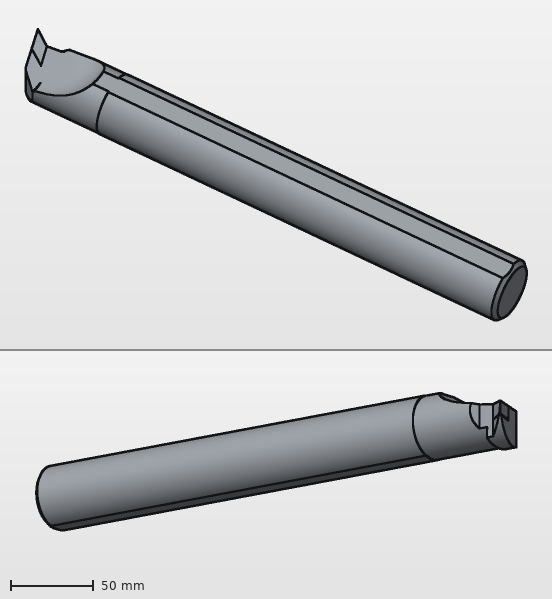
import cadquery as cq
import math

length = 349.3
shank_radius = 20.0
flat_height = 19.0
neck_step = 0.17
neck_radius = shank_radius - neck_step
neck_end = 68.8
end_chamfer = 2.8
stock = 104.8

head_radius = 22.7
head_center_y = 3.0
head_center_z = 0.7
head_end = 16.8
tip_y = head_center_y + head_radius

floor_angle = 8.5
floor_tip_z = 0.5
bowl_center = 24.5
bowl_center_y = 2.5
bowl_flat_radius = 14.0
bowl_wall_radius = 30.0
bowl_height = 33.2

tip = (0, tip_y)
front_corner = (9.5, -4.2)
side_corner = (11.0, -6.3)
side_end = (23.8, -shank_radius)
relief_start = (12.2, 16.0)
relief_end = (22.5, 16.0)
relief_runout = (27.0, shank_radius)

insert_bottom = -7.7
insert_relief_z = -4.2
insert_relief = 0.5
insert_front = 15.5
insert_inner = (17.0, 1.0)


def cylinder_x(radius, start, end, y=0, z=0):
    """Solid cylinder along X between two stations."""
    return cq.Workplane("YZ", origin=(start, y, z)).circle(radius).extrude(end - start)


def make_gullet():
    """Material removed above the tilted floor, closed by a half bowl."""
    angle = math.radians(floor_angle)
    along = (math.cos(angle), 0, math.sin(angle))
    normal = (-math.sin(angle), 0, math.cos(angle))
    center = (bowl_center * along[0], bowl_center_y, floor_tip_z + bowl_center * along[2])
    floor = cq.Plane(origin=center, xDir=along, normal=normal)
    section = cq.Plane(origin=center, xDir=along, normal=(0, -1, 0))
    bowl = (
        cq.Workplane(section)
        .lineTo(bowl_flat_radius, 0)
        .radiusArc((bowl_flat_radius + bowl_wall_radius, bowl_wall_radius), -bowl_wall_radius)
        .lineTo(bowl_flat_radius + bowl_wall_radius, bowl_height)
        .lineTo(0, bowl_height)
        .close()
        .revolve(360, (0, 0), (0, 1))
    )
    front = (
        cq.Workplane(floor)
        .center(-stock / 2, 0)
        .rect(stock, stock)
        .extrude(bowl_height)
    )
    return front.union(bowl)


def make_bar():
    """Round bar with a full-length top flat and a lower flat on the shank."""
    shank = cylinder_x(shank_radius, neck_end, length).faces(">X").chamfer(end_chamfer)
    bar = shank.union(cylinder_x(neck_radius, 0, neck_end))
    top_cut = cq.Workplane("XY", origin=(length / 2, 0, flat_height)).rect(length, stock).extrude(stock)
    bottom_cut = (
        cq.Workplane("XY", origin=((neck_end + length) / 2, 0, -flat_height))
        .rect(length - neck_end, stock)
        .extrude(-stock)
    )
    return bar.cut(top_cut).cut(bottom_cut)


def make_outline():
    """Prism that trims the front faces and the side relief."""
    outline = [
        tip, front_corner, side_corner, side_end,
        (side_end[0], -stock), (length, -stock), (length, stock),
        (relief_runout[0], stock), relief_runout, relief_end, relief_start,
    ]
    return cq.Workplane("XY", origin=(0, 0, -stock)).polyline(outline).close().extrude(2 * stock)


def make_head():
    return cylinder_x(head_radius, 0, head_end, head_center_y, head_center_z)


def insert_prism():
    """Four-sided prism whose front edge lies in the front face of the head."""
    front_slope = front_corner[0] / (tip_y - front_corner[1])
    front_inner = (insert_front * front_slope, tip_y - insert_front)
    points = [tip, front_inner, insert_inner, relief_start]
    return (
        cq.Workplane("XY", origin=(0, 0, insert_bottom))
        .polyline(points)
        .close()
        .extrude(stock)
    )


def make_holder():
    body = make_bar().union(make_head()).intersect(make_outline())
    return body.cut(make_gullet()).cut(insert_prism())


def make_insert():
    insert = insert_prism().intersect(make_head().union(make_bar())).cut(make_gullet())
    edge_x = front_corner[0]
    edge_y = front_corner[1] - tip_y
    edge_length = math.hypot(edge_x, edge_y)
    across = cq.Plane(
        origin=(0, tip_y, 0),
        xDir=(-edge_y / edge_length, edge_x / edge_length, 0),
        normal=(edge_x / edge_length, edge_y / edge_length, 0),
    )
    relief = (
        cq.Workplane(across)
        .moveTo(0, insert_relief_z)
        .lineTo(insert_relief, insert_bottom)
        .lineTo(-insert_relief, insert_bottom)
        .lineTo(-insert_relief, insert_relief_z)
        .close()
        .extrude(stock / 2, both=True)
    )
    return insert.cut(relief)


holder = make_holder()
insert = make_insert()
result = cq.Compound.makeCompound([*holder.solids().vals(), *insert.solids().vals()])